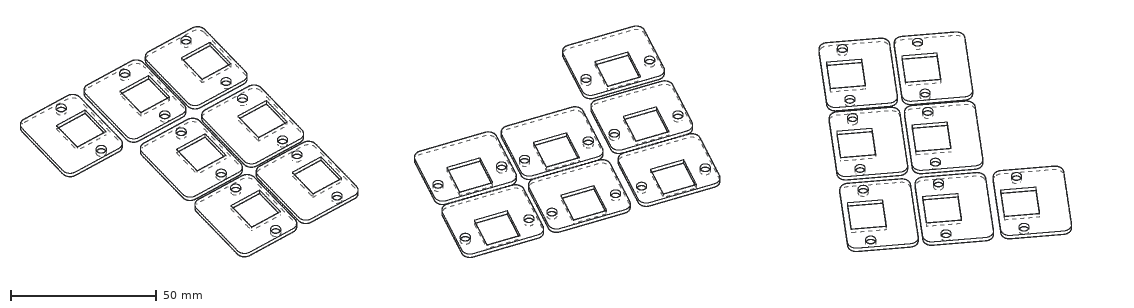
import cadquery as cq

PLATE_WIDTH = 30.0
PLATE_HEIGHT = 24.5
PLATE_THICKNESS = 1.8
CORNER_RADIUS = 3.0

WINDOW_SIDE = 12.2
WINDOW_EDGE_MARGIN = 2.0
WINDOW_CENTER_Y = PLATE_HEIGHT / 2 - WINDOW_EDGE_MARGIN - WINDOW_SIDE / 2

HOLE_DIAMETER = 3.5
HOLE_SPACING = 23.5

FIRST_COLUMN_STEP = 33.1
SECOND_COLUMN_STEP = 31.9
FIRST_ROW_STEP = 26.0
SECOND_ROW_STEP = 27.0

COLUMN_X = [0, FIRST_COLUMN_STEP, FIRST_COLUMN_STEP + SECOND_COLUMN_STEP]
ROW_Y = [0, -FIRST_ROW_STEP, -(FIRST_ROW_STEP + SECOND_ROW_STEP)]
PLATES_IN_ROW = [3, 3, 1]


def make_plate(center_x, center_y):
    """One plate with its window and two mounting holes, centred on the given point."""
    blank = (
        cq.Workplane("XY")
        .rect(PLATE_WIDTH, PLATE_HEIGHT)
        .extrude(PLATE_THICKNESS)
        .edges("|Z")
        .fillet(CORNER_RADIUS)
    )
    window = (
        cq.Workplane("XY")
        .center(0, WINDOW_CENTER_Y)
        .rect(WINDOW_SIDE, WINDOW_SIDE)
        .extrude(PLATE_THICKNESS)
    )
    mounting_holes = (
        cq.Workplane("XY")
        .center(0, WINDOW_CENTER_Y)
        .pushPoints([(-HOLE_SPACING / 2, 0), (HOLE_SPACING / 2, 0)])
        .circle(HOLE_DIAMETER / 2)
        .extrude(PLATE_THICKNESS)
    )
    plate = blank.cut(window).cut(mounting_holes).translate((center_x, center_y, 0))
    return plate.solids().val()


plates = []
for row_y, plate_count in zip(ROW_Y, PLATES_IN_ROW):
    for column_x in COLUMN_X[:plate_count]:
        plates.append(make_plate(column_x, row_y))

result = cq.Compound.makeCompound(plates)